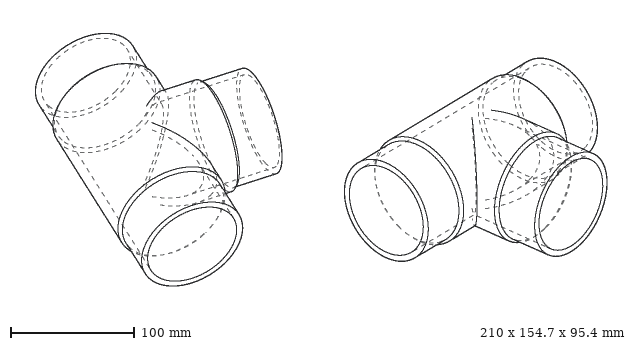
import cadquery as cq

run_length = 210.0
branch_reach = 107.0
spigot_length = 38.0
spigot_diameter = 90.0
bore_diameter = 79.2
body_diameter = 95.4

run_reach = run_length / 2
spigot_radius = spigot_diameter / 2
body_radius = body_diameter / 2
bore_radius = bore_diameter / 2
shoulder_chamfer = body_radius - spigot_radius


def run_cylinder(radius, reach):
    """Cylinder along X, reaching equally far to both sides of the branch axis."""
    return cq.Workplane("YZ").circle(radius).extrude(reach, both=True)


def branch_cylinder(radius, reach):
    """Cylinder along +Y, starting on the run axis."""
    return cq.Workplane("ZX").circle(radius).extrude(reach)


def solid_run():
    """Solid straight run: body with a conical shoulder and a spigot at each end."""
    body = run_cylinder(body_radius, run_reach - spigot_length)
    body = body.faces("<X or >X").chamfer(shoulder_chamfer)
    return body.union(run_cylinder(spigot_radius, run_reach))


def solid_branch():
    """Solid branch: body, conical shoulder and spigot."""
    body = branch_cylinder(body_radius, branch_reach - spigot_length)
    body = body.faces(">Y").chamfer(shoulder_chamfer)
    return body.union(branch_cylinder(spigot_radius, branch_reach))


outside = solid_run().union(solid_branch())
passage = run_cylinder(bore_radius, run_reach).union(branch_cylinder(bore_radius, branch_reach))

result = outside.cut(passage)